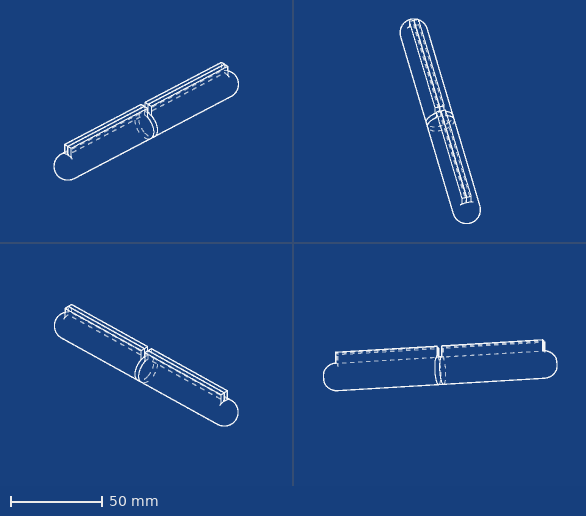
import cadquery as cq
import math

total_length = 130.0
barrel_radius = 7.7
dome_height = 6.8
dome_edge_fillet = 1.0
ring_thickness = 2.7
flange_top = 13.4
flange_width = 5.2
fillet_radius = 1.8
slit_width = 0.2

leaf_start = ring_thickness / 2
dome_start = total_length / 2 - dome_height
flange_length = dome_start - leaf_start


def make_barrel():
    """Round barrel with a flattened ball at its outer end."""
    flat_radius = math.sqrt(barrel_radius**2 - dome_height**2)
    mid_angle = math.asin(dome_height / barrel_radius) / 2
    mid_point = (barrel_radius * math.cos(mid_angle), dome_start + barrel_radius * math.sin(mid_angle))
    barrel = (
        cq.Workplane("XY")
        .moveTo(0, leaf_start)
        .lineTo(barrel_radius, leaf_start)
        .lineTo(barrel_radius, dome_start)
        .threePointArc(mid_point, (flat_radius, total_length / 2))
        .lineTo(0, total_length / 2)
        .close()
        .revolve(360, (0, 0, 0), (0, 1, 0))
    )
    return barrel.faces(">Y").edges().fillet(dome_edge_fillet)


def make_flange():
    """Upright flange with a concave fillet on each side where it meets the barrel."""
    half_width = flange_width / 2
    center_x = half_width + fillet_radius
    center_z = math.sqrt((barrel_radius + fillet_radius) ** 2 - center_x**2)
    to_barrel = math.atan2(-center_z, -center_x)
    foot_x = center_x + fillet_radius * math.cos(to_barrel)
    foot_z = center_z + fillet_radius * math.sin(to_barrel)
    mid_angle = (to_barrel - math.pi) / 2
    mid_x = center_x + fillet_radius * math.cos(mid_angle)
    mid_z = center_z + fillet_radius * math.sin(mid_angle)
    return (
        cq.Workplane("XZ", origin=(0, dome_start, 0))
        .moveTo(-half_width, flange_top)
        .lineTo(half_width, flange_top)
        .lineTo(half_width, center_z)
        .threePointArc((mid_x, mid_z), (foot_x, foot_z))
        .lineTo(0, 0)
        .lineTo(-foot_x, foot_z)
        .threePointArc((-mid_x, mid_z), (-half_width, center_z))
        .close()
        .extrude(flange_length)
    )


def make_slit():
    """Narrow slit along the whole flange, from the hinge axis up to the flange top."""
    return cq.Workplane("XY", origin=(0, leaf_start, 0)).box(
        slit_width, flange_length, flange_top, centered=(True, False, False)
    )


def make_leaf(turn):
    """Hinge half, turned about Z to point along +Y or -Y."""
    slit_flange = make_flange().cut(make_slit())
    leaf = make_barrel().union(slit_flange)
    return leaf.rotate((0, 0, 0), (0, 0, 1), turn)


def make_ring():
    """Spacer disc between the two leaves."""
    return cq.Workplane("XZ", origin=(0, leaf_start, 0)).circle(barrel_radius).extrude(ring_thickness)


leaves = [make_leaf(turn) for turn in (0, 180)]
ring = make_ring()

result = cq.Compound.makeCompound([leaf.val() for leaf in leaves] + [ring.val()])